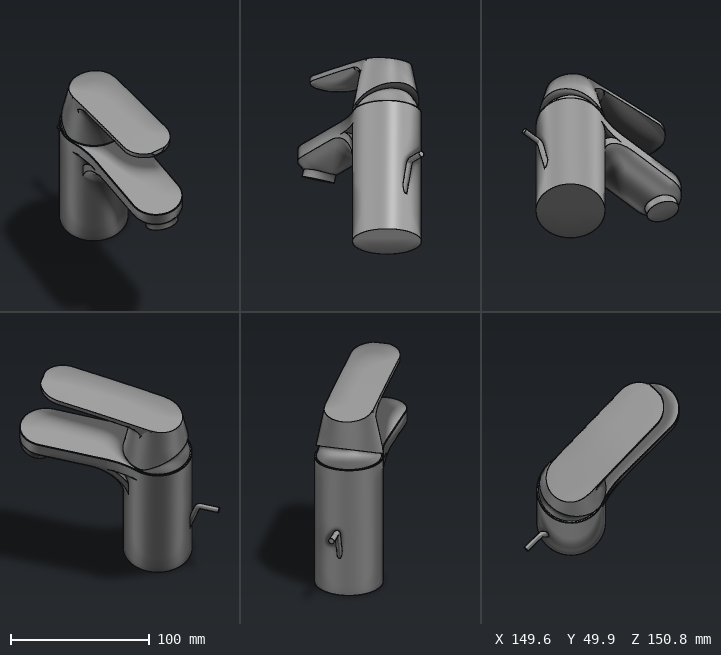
import cadquery as cq
import math

column_diameter = 49.9
column_radius = column_diameter / 2
body_top = 100.0
rim_chamfer = 0.5
dome_radius = 24.0
dome_center_z = 95.6

spout_tip_x = 103.3
spout_half_width = 19.2
spout_end_x = spout_tip_x - spout_half_width
slab_bottom = 90.0
belly_bottom = 79.5
slab_height = body_top - slab_bottom
belly_depth = slab_bottom - belly_bottom
elbow_radius = 20.4
elbow_x = column_radius + elbow_radius
elbow_z = belly_bottom - elbow_radius
blend_radius = 66.4

aerator_diameter = 23.8
aerator_height = 4.7
aerator_tilt = 22.5
aerator_x = 92.1
aerator_z = 78.7
aerator_embed = 1.5
trim_width = 2 * spout_half_width

skirt_x = 0.3
skirt_bottom = 102.9
skirt_bottom_radius = 24.9
skirt_top = 143.3
skirt_taper = 0.2
skirt_slope_start_x = 4.0
skirt_back_x = -21.9
skirt_back_z = 115.5
flare_bottom = 128.8
flare_top = 137.0
flare_width = 4.5
flare_wall_slope = 0.26
lever_half_width = 18.1
lever_back_x = -0.3
lever_tip_x = 87.6
lever_end_x = lever_tip_x - lever_half_width
lever_back_z = 135.1
lever_middle_x = 34.1
lever_middle_z = 143.7
lever_tip_top = 150.8
lever_thickness = 3.8
lever_tip_lean = 0.9
lever_belly_radius = 83.0
lever_belly_angle = 9.2
lever_belly_x = 23.2
lever_belly_z = 136.2

rod_diameter = 4.0
rod_start_x = -46.3
rod_z = 52.6
rod_bend_radius = 3.5
rod_corner_x = -30.5
rod_angle = 72.0
rod_lower_length = 28.7


def spout_outline(base_z):
    """Plan outline of the spout, which leaves the column round along concave tangent arcs."""
    blend_center_y = spout_half_width + blend_radius
    blend_center_x = math.sqrt((column_radius + blend_radius) ** 2 - blend_center_y**2)
    blend_share = column_radius / (column_radius + blend_radius)
    start_x = blend_center_x * blend_share
    start_y = blend_center_y * blend_share
    middle_angle = (math.atan2(start_y - blend_center_y, start_x - blend_center_x) - math.pi / 2) / 2
    middle_x = blend_center_x + blend_radius * math.cos(middle_angle)
    middle_y = blend_center_y + blend_radius * math.sin(middle_angle)
    return (
        cq.Workplane("XY", origin=(0, 0, base_z))
        .moveTo(start_x, start_y)
        .threePointArc((middle_x, middle_y), (blend_center_x, spout_half_width))
        .lineTo(spout_end_x, spout_half_width)
        .threePointArc((spout_tip_x, 0), (spout_end_x, -spout_half_width))
        .lineTo(blend_center_x, -spout_half_width)
        .threePointArc((middle_x, -middle_y), (start_x, -start_y))
        .close()
    )


def belly_section():
    """Shallow arc below the slab, with straight sides continuing up into the slab."""
    top = slab_bottom + slab_height / 2
    return (
        cq.Workplane("YZ", origin=(elbow_x, 0, 0))
        .moveTo(-spout_half_width, top)
        .lineTo(-spout_half_width, slab_bottom)
        .threePointArc((0, belly_bottom), (spout_half_width, slab_bottom))
        .lineTo(spout_half_width, top)
        .close()
    )


def make_spout_belly():
    straight = belly_section().extrude(spout_end_x - elbow_x)
    elbow = belly_section().revolve(90, (1.5, elbow_z, 0), (-1.5, elbow_z, 0))
    belly_radius = (spout_half_width**2 + belly_depth**2) / (2 * belly_depth)
    nose = (
        cq.Workplane("XY")
        .sphere(belly_radius)
        .translate((spout_end_x, 0, belly_bottom + belly_radius))
        .intersect(spout_outline(belly_bottom).extrude(belly_depth))
    )
    below_slab = spout_outline(0).extrude(slab_bottom)
    return straight.union(elbow).union(nose).intersect(below_slab)


def make_dome():
    return cq.Workplane("XY").sphere(dome_radius).translate((0, 0, dome_center_z))


def make_body():
    column = cq.Workplane("XY").circle(column_radius).extrude(body_top).faces(">Z").chamfer(rim_chamfer)
    slab = spout_outline(slab_bottom).extrude(slab_height).faces(">Z").chamfer(rim_chamfer)
    tilt = math.radians(aerator_tilt)
    aerator_plane = cq.Plane(
        origin=(aerator_x, 0, aerator_z),
        xDir=(math.cos(tilt), 0, math.sin(tilt)),
        normal=(-math.sin(tilt), 0, math.cos(tilt)),
    )
    trim = (
        cq.Workplane(aerator_plane)
        .workplane(offset=aerator_height)
        .rect(aerator_diameter, trim_width)
        .extrude(-aerator_diameter)
    )
    aerator = (
        cq.Workplane(aerator_plane)
        .circle(aerator_diameter / 2)
        .extrude(aerator_height + aerator_embed)
    )
    belly = make_spout_belly().cut(trim)
    return column.union(slab).union(belly).union(aerator).union(make_dome()).clean()


def lever_profile(bottom_drop):
    """Side profile of the region under the gently arched top of the handle."""
    tip_top_x = lever_tip_x - lever_tip_lean
    back_x = lever_back_x - lever_half_width
    far_back_x = back_x - column_radius
    return (
        cq.Workplane("XZ", origin=(0, column_radius, 0))
        .moveTo(back_x, lever_back_z)
        .threePointArc((lever_middle_x, lever_middle_z), (tip_top_x, lever_tip_top))
        .lineTo(lever_tip_x, lever_tip_top - bottom_drop)
        .threePointArc((lever_middle_x, lever_middle_z - bottom_drop), (back_x, lever_back_z - bottom_drop))
        .lineTo(far_back_x, lever_back_z - bottom_drop)
        .lineTo(far_back_x, lever_back_z)
        .close()
        .extrude(2 * column_radius)
    )


def lever_outline():
    """Plan of the lever, from a straight back edge to its round tip."""
    return (
        cq.Workplane("XY")
        .moveTo(lever_back_x, lever_half_width)
        .lineTo(lever_end_x, lever_half_width)
        .threePointArc((lever_tip_x, 0), (lever_end_x, -lever_half_width))
        .lineTo(lever_back_x, -lever_half_width)
        .close()
        .extrude(lever_tip_top)
    )


def make_lever():
    outline = lever_outline()
    blade = lever_profile(lever_thickness).intersect(outline)
    angle = math.radians(lever_belly_angle)
    along = (math.cos(angle), 0, math.sin(angle))
    up = (-math.sin(angle), 0, math.cos(angle))
    belly = (
        cq.Workplane(cq.Plane(origin=(lever_belly_x, 0, lever_belly_z), xDir=up, normal=along))
        .center(lever_belly_radius, 0)
        .circle(lever_belly_radius)
        .extrude(lever_tip_x, both=True)
        .intersect(outline)
        .intersect(lever_profile(skirt_bottom_radius))
    )
    return blade.union(belly)


def make_flare():
    """Concave flare joining the front of the skirt to the underside of the lever."""
    lower_radius = skirt_bottom_radius - skirt_taper * (flare_bottom - skirt_bottom)
    upper_radius = lower_radius + flare_width
    flare = (
        cq.Workplane("XZ")
        .lineTo(0, flare_bottom)
        .lineTo(lower_radius, flare_bottom)
        .spline(
            [(upper_radius, flare_top)],
            tangents=[(-skirt_taper, 1), (1, flare_wall_slope)],
            includeCurrent=True,
        )
        .lineTo(0, flare_top)
        .close()
        .revolve(360, (0, 0, 0), (0, 1, 0))
        .translate((skirt_x, 0, 0))
    )
    return flare.intersect(lever_outline()).intersect(lever_profile(skirt_bottom_radius))


def make_skirt():
    top_radius = skirt_bottom_radius - skirt_taper * (skirt_top - skirt_bottom)
    cone = cq.Workplane(
        cq.Solid.makeCone(
            skirt_bottom_radius,
            top_radius,
            skirt_top - skirt_bottom,
            pnt=cq.Vector(skirt_x, 0, skirt_bottom),
        )
    )
    underside_slope = (skirt_back_z - skirt_bottom) / (skirt_slope_start_x - skirt_back_x)
    far_back_x = -2 * column_radius
    far_back_z = skirt_bottom + underside_slope * (skirt_slope_start_x - far_back_x)
    below = (
        cq.Workplane("XZ", origin=(0, column_radius, 0))
        .moveTo(skirt_slope_start_x, skirt_bottom)
        .lineTo(far_back_x, far_back_z)
        .lineTo(far_back_x, skirt_bottom)
        .close()
        .extrude(2 * column_radius)
    )
    return cone.intersect(lever_profile(lever_tip_top - skirt_bottom)).cut(below)


def make_handle():
    return make_skirt().union(make_flare()).union(make_lever()).cut(make_dome())


def make_rod():
    """Rod running level toward the column, then bending steeply down into it."""
    angle = math.radians(rod_angle)
    setback = rod_bend_radius * math.tan(angle / 2)
    bend_x = rod_corner_x - setback
    bend_center_z = rod_z - rod_bend_radius
    bend_middle = (
        bend_x + rod_bend_radius * math.sin(angle / 2),
        bend_center_z + rod_bend_radius * math.cos(angle / 2),
    )
    bend_end = (
        bend_x + rod_bend_radius * math.sin(angle),
        bend_center_z + rod_bend_radius * math.cos(angle),
    )
    rod_end = (
        bend_end[0] + rod_lower_length * math.cos(angle),
        bend_end[1] - rod_lower_length * math.sin(angle),
    )
    path = (
        cq.Workplane("XZ")
        .moveTo(rod_start_x, rod_z)
        .lineTo(bend_x, rod_z)
        .threePointArc(bend_middle, bend_end)
        .lineTo(*rod_end)
    )
    return cq.Workplane("YZ", origin=(rod_start_x, 0, rod_z)).circle(rod_diameter / 2).sweep(path)


rod = make_rod()
body = make_body().cut(rod)
handle = make_handle()

result = cq.Compound.makeCompound([body.solids().val(), handle.solids().val(), rod.val()])